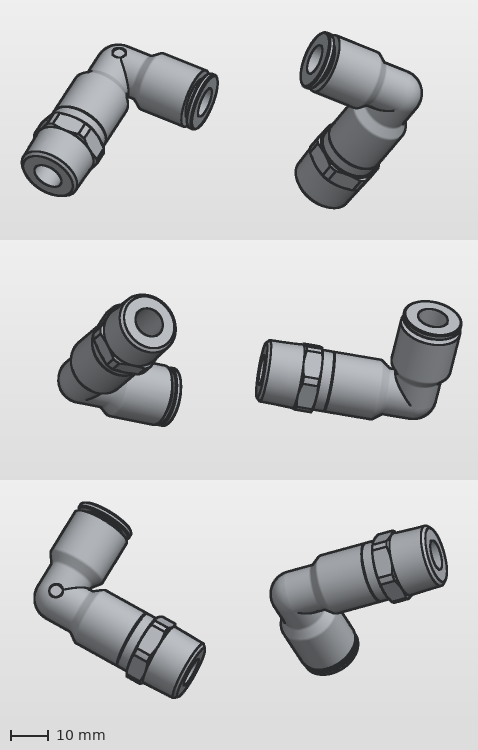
import cadquery as cq
import math


overall_length = 48.75
body_radius = 8.0
pipe_radius = 6.15
bore_radius = 4.0
shoulder_start = 7.0
shoulder_angle = 36.0
shoulder_round = 1.0

swivel_groove_start = 22.7
swivel_groove_width = 0.2
swivel_groove_radius = 7.15
hex_start = 26.05
hex_end = 31.0
thread_end = overall_length - body_radius
thread_end_chamfer = 0.9
gauge_distance = 36.3
gauge_radius = 8.35
taper_slope = 1 / 32

hex_across_flats = 17.0
hex_corner_radius = 9.3
hex_inner_chamfer = 0.4
hex_outer_chamfer = 0.5

tube_body_end = 22.65
collar_start = 24.0
collar_end = 25.6
collar_neck_radius = 5.6
collar_radius = 7.75
collar_chamfer = 0.3

badge_radius = 1.8
badge_offset = 0.45
badge_floor = 5.35


def thread_radius(distance):
    return gauge_radius + (gauge_distance - distance) * taper_slope


def leg_start():
    """Half outline (radius, distance) from the elbow centre to the full body radius."""
    angle = math.radians(shoulder_angle)
    round_length = shoulder_round * math.sin(angle)
    round_rise = shoulder_round * (1 - math.cos(angle))
    cone_rise = body_radius - pipe_radius - 2 * round_rise
    cone_start = shoulder_start + round_length
    cone_end = cone_start + cone_rise / math.tan(angle)
    return (
        cq.Workplane("XY")
        .lineTo(pipe_radius, 0)
        .lineTo(pipe_radius, shoulder_start)
        .tangentArcPoint((pipe_radius + round_rise, cone_start), relative=False)
        .lineTo(body_radius - round_rise, cone_end)
        .tangentArcPoint((body_radius, cone_end + round_length), relative=False)
    )


def revolve_leg(outline):
    """Close the half outline on the leg axis and turn it about +Y."""
    return outline.close().revolve(360, (0, 0), (0, 1))


def make_hexagon():
    length = hex_end - hex_start
    flat_radius = hex_across_flats / 2
    prism = (
        cq.Workplane("XZ", origin=(0, -hex_start, 0))
        .polygon(6, hex_across_flats / math.cos(math.pi / 6))
        .extrude(length)
    )
    chamfered_round = (
        cq.Workplane("XY")
        .polyline([
            (0, -hex_start),
            (flat_radius, -hex_start),
            (hex_corner_radius, -hex_start - hex_inner_chamfer),
            (hex_corner_radius, -hex_end + hex_outer_chamfer),
            (flat_radius, -hex_end),
            (0, -hex_end),
        ])
        .close()
        .revolve(360, (0, 0), (0, 1))
    )
    return prism.intersect(chamfered_round)


def make_thread_leg():
    groove_end = swivel_groove_start + swivel_groove_width
    chamfer_start = thread_end - thread_end_chamfer
    chamfer_radius = thread_radius(chamfer_start)
    outline = (
        leg_start()
        .lineTo(body_radius, swivel_groove_start)
        .lineTo(swivel_groove_radius, swivel_groove_start)
        .lineTo(swivel_groove_radius, groove_end)
        .lineTo(body_radius, groove_end)
        .lineTo(body_radius, hex_end)
        .lineTo(thread_radius(hex_end), hex_end)
        .lineTo(chamfer_radius, chamfer_start)
        .lineTo(chamfer_radius - thread_end_chamfer, thread_end)
        .lineTo(0, thread_end)
    )
    along_minus_y = revolve_leg(outline).rotate((0, 0, 0), (0, 0, 1), 180)
    return along_minus_y.union(make_hexagon())


def make_tube_leg():
    collar_rim = collar_radius - collar_chamfer
    outline = (
        leg_start()
        .lineTo(body_radius, tube_body_end)
        .lineTo(collar_neck_radius, tube_body_end)
        .lineTo(collar_neck_radius, collar_start)
        .lineTo(collar_rim, collar_start)
        .lineTo(collar_radius, collar_start + collar_chamfer)
        .lineTo(collar_radius, collar_end - collar_chamfer)
        .lineTo(collar_rim, collar_end)
        .lineTo(0, collar_end)
    )
    return revolve_leg(outline).rotate((0, 0, 0), (0, 0, 1), -90)


def make_bore():
    """Through passage: two round bores joined by a ball at the elbow centre."""
    thread_bore = cq.Workplane("XZ").circle(bore_radius).extrude(thread_end)
    tube_bore = cq.Workplane("YZ").circle(bore_radius).extrude(collar_end)
    return thread_bore.union(tube_bore).union(cq.Workplane("XY").sphere(bore_radius))


def make_badge_recess():
    depth = pipe_radius - badge_floor
    return (
        cq.Workplane("XY", origin=(0, badge_offset, badge_floor))
        .circle(badge_radius)
        .extrude(depth)
    )


elbow = make_thread_leg().union(make_tube_leg()).union(cq.Workplane("XY").sphere(pipe_radius))
result = elbow.cut(make_bore()).cut(make_badge_recess())